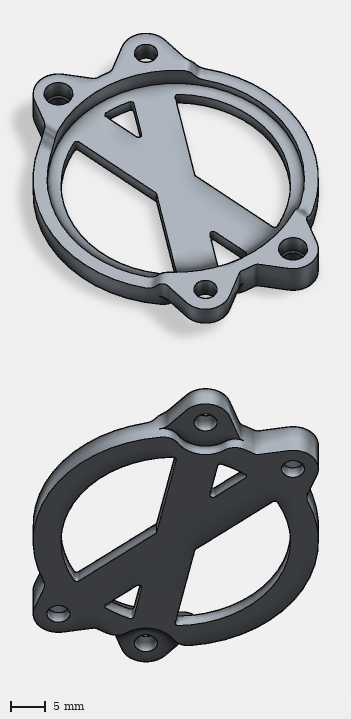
import cadquery as cq
import math

total_height = 5.0
ring_height = 3.35
web_thickness = 2.0
ear_underside = 1.8

ring_radius = 20.41
bore_radius = 18.4
window_radius = 16.4

ear_end = 25.55
ear_radius = 3.65
hole_distance = ear_end - ear_radius
ear_side_angle = 30.0
outer_root_fillet = 2.05
inner_root_fillet = 1.0
diagonal_angle = -38.7
hole_radius = 1.65
counterbore_radius = 2.05
counterbore_floor = web_thickness

clearance_radius = 4.6
clearance_fillet = 2.55

bar_half_width = 3.0
window_fillet = 0.45

main_ramp_start = 4.9
main_ramp_runs = (1.35, 2.05)
diagonal_ramp_start = -1.45
diagonal_ramp_runs = (1.75, 1.55)
diagonal_ramp_direction = 33.0

margin = 0.5
span = 2 * ear_end + 2 * margin


def polar(radius, degrees):
    angle = math.radians(degrees)
    return radius * math.cos(angle), radius * math.sin(angle)


def rotated(body, degrees):
    return body.rotate((0, 0, 0), (0, 0, 1), degrees)


def cylinder(radius, bottom, top, center=(0, 0)):
    return cq.Workplane(origin=(*center, bottom)).circle(radius).extrude(top - bottom)


def ear_side(fillet):
    """Points of the ear's +Y side: three along the root fillet, then the start of the tip."""
    side_offset = hole_distance * math.sin(math.radians(ear_side_angle)) + ear_radius
    normal_angle = 90 - ear_side_angle
    fillet_distance = ring_radius + fillet
    fillet_angle = normal_angle - math.degrees(math.acos((side_offset + fillet) / fillet_distance))
    fillet_x, fillet_y = polar(fillet_distance, fillet_angle)
    points = []
    for direction in (fillet_angle, (fillet_angle + normal_angle) / 2, normal_angle):
        dx, dy = polar(fillet, direction)
        points.append((fillet_x - dx, fillet_y - dy))
    tip_dx, tip_dy = polar(ear_radius, normal_angle)
    points.append((hole_distance + tip_dx, tip_dy))
    return points


def ear(bottom, upper_fillet, lower_fillet):
    """Tapered ear pointing along +X, flaring into the ring with concave fillets."""
    upper = ear_side(upper_fillet)
    lower = [(x, -y) for x, y in ear_side(lower_fillet)]
    root_x = bore_radius * math.cos(math.radians(ear_side_angle))
    return (
        cq.Workplane(origin=(0, 0, bottom))
        .moveTo(root_x, upper[0][1])
        .lineTo(*upper[0])
        .threePointArc(upper[1], upper[2])
        .lineTo(*upper[3])
        .threePointArc((ear_end, 0), lower[3])
        .lineTo(*lower[2])
        .threePointArc(lower[1], lower[0])
        .lineTo(root_x, lower[0][1])
        .close()
        .extrude(total_height - bottom)
    )


def above_ramp(start, runs):
    """Space above an S-shaped ramp that descends along +X."""
    first_run, second_run = runs
    run = first_run + second_run
    drop = total_height - ring_height
    half_slope = math.atan(drop / run)
    steepest = 2 * half_slope
    convex_radius = first_run / math.sin(steepest)
    concave_radius = second_run / math.sin(steepest)

    def arc_offset(radius):
        return radius * math.sin(half_slope), radius * (1 - math.cos(half_slope))

    convex_dx, convex_dz = arc_offset(convex_radius)
    concave_dx, concave_dz = arc_offset(concave_radius)
    end = start + run
    middle = (start + first_run, total_height - drop * first_run / run)
    return (
        cq.Workplane("XZ")
        .moveTo(start, total_height)
        .threePointArc((start + convex_dx, total_height - convex_dz), middle)
        .threePointArc((end - concave_dx, ring_height + concave_dz), (end, ring_height))
        .lineTo(span, ring_height)
        .lineTo(span, total_height + margin)
        .lineTo(start, total_height + margin)
        .close()
        .extrude(span, both=True)
    )


def web_windows():
    """Openings left between the crossed bars, with rounded corners."""
    bar = cq.Workplane().box(span, 2 * bar_half_width, total_height)
    openings = cylinder(window_radius, -margin, web_thickness + margin)
    openings = openings.cut(bar.union(rotated(bar, diagonal_angle)))
    blunt_distance = bar_half_width / math.cos(math.radians(diagonal_angle / 2))
    rounded_edges = [
        edge
        for edge in openings.edges("|Z").vals()
        if math.hypot(edge.Center().x, edge.Center().y) > blunt_distance + margin
    ]
    return openings.newObject(rounded_edges).fillet(window_fillet)


def ear_clearances():
    """Material missing from the ring's lower layer, around both diagonal ears' axes."""
    layer = cylinder(ring_radius, 0, ear_underside)
    kept = layer
    for turn in (0, 180):
        center = polar(hole_distance, diagonal_angle + turn)
        kept = kept.cut(cylinder(clearance_radius, 0, ear_underside, center))
    kept = kept.edges("|Z").fillet(clearance_fillet)
    return layer.cut(kept)


result = cylinder(ring_radius, 0, total_height).cut(ear_clearances())

main_ear = ear(0, outer_root_fillet, inner_root_fillet)
diagonal_ear = ear(ear_underside, inner_root_fillet, outer_root_fillet)
for turn in (0, 180):
    result = result.union(rotated(main_ear, turn))
    result = result.union(rotated(diagonal_ear, diagonal_angle + turn))

result = result.cut(cylinder(bore_radius, web_thickness, total_height + margin))
result = result.cut(web_windows())

main_ramp = rotated(above_ramp(main_ramp_start, main_ramp_runs), 90)
diagonal_ramp = rotated(
    above_ramp(diagonal_ramp_start, diagonal_ramp_runs), diagonal_ramp_direction
)
low_stretch = main_ramp.intersect(diagonal_ramp)
for turn in (0, 180):
    result = result.cut(rotated(low_stretch, turn))

for turn in (0, 180):
    main_center = polar(hole_distance, turn)
    diagonal_center = polar(hole_distance, diagonal_angle + turn)
    for center in (main_center, diagonal_center):
        result = result.cut(cylinder(hole_radius, -margin, total_height + margin, center))
    result = result.cut(
        cylinder(counterbore_radius, counterbore_floor, total_height + margin, main_center)
    )